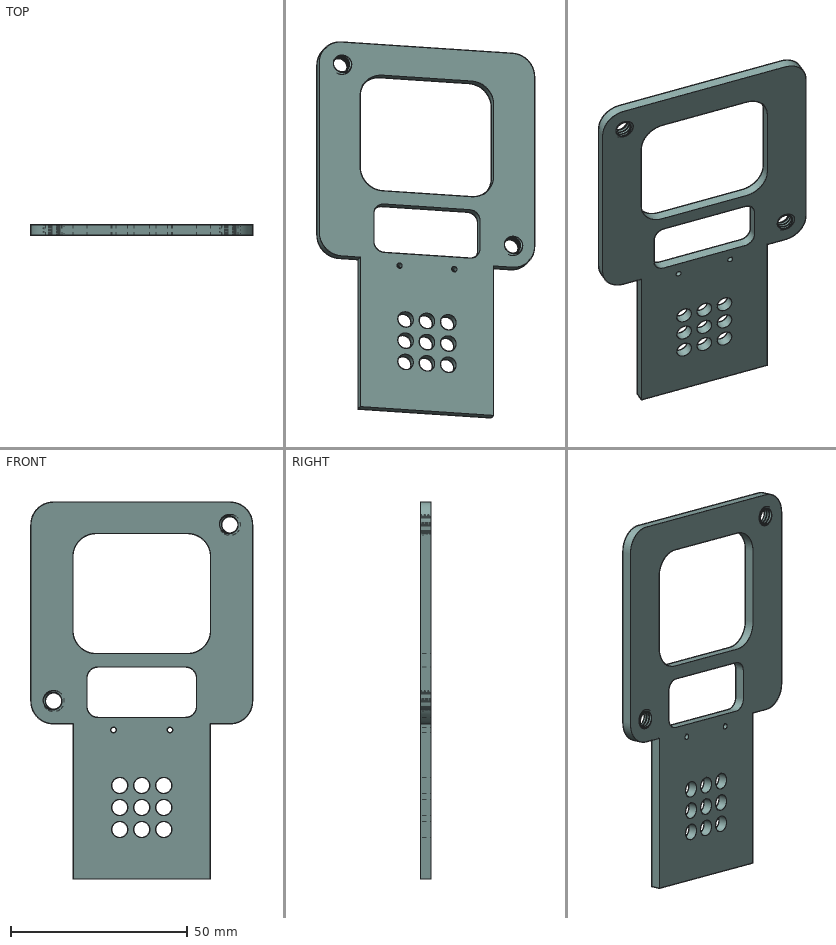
import cadquery as cq
import math

THICKNESS = 3.0
HEAD_SIZE = 63.0
HEAD_CORNER_RADIUS = 6.5
TOTAL_HEIGHT = 107.0
TAIL_WIDTH = 39.0

HEAD_TOP = HEAD_SIZE / 2
HEAD_BOTTOM = -HEAD_SIZE / 2
TAIL_LENGTH = TOTAL_HEIGHT - HEAD_SIZE
TAIL_BOTTOM = HEAD_BOTTOM - TAIL_LENGTH

LARGE_WINDOW_WIDTH = TAIL_WIDTH
LARGE_WINDOW_HEIGHT = 34.0
LARGE_WINDOW_RADIUS = 6.5
LARGE_WINDOW_TOP_MARGIN = 9.0
LARGE_WINDOW_TOP = HEAD_TOP - LARGE_WINDOW_TOP_MARGIN

SMALL_WINDOW_WIDTH = 31.0
SMALL_WINDOW_HEIGHT = 14.2
SMALL_WINDOW_RADIUS = 3.0
WINDOW_GAP = 3.9
SMALL_WINDOW_TOP = LARGE_WINDOW_TOP - LARGE_WINDOW_HEIGHT - WINDOW_GAP

PIN_HOLE_DIAMETER = 1.5
PIN_HOLE_SPACING = 16.0
PIN_HOLE_DROP = 1.7

GRID_HOLE_DIAMETER = 4.5
GRID_PITCH = 6.25
GRID_COUNT = 3
GRID_CENTER_ABOVE_TAIL_BOTTOM = 20.3

THREAD_MINOR_DIAMETER = 4.7
THREAD_MAJOR_DIAMETER = 6.0
THREAD_PITCH = 1.0
THREAD_ANGLE = 60.0
THREAD_START_ANGLE = 170.0
THREAD_OVERRUN = THREAD_PITCH
THREAD_OVERLAP = 0.05
THREAD_OFFSET = HEAD_SIZE / 2 - HEAD_CORNER_RADIUS


def block(width, height, top):
    """Block through the plate thickness, centred on X = 0, with its top edge at the given Z."""
    return cq.Workplane("XY").box(width, THICKNESS, height).translate((0, 0, top - height / 2))


def rounded_block(width, height, top, radius):
    return block(width, height, top).edges("|Y").fillet(radius)


def pins(points, diameter):
    """Cylinders through the plate thickness at the given (x, z) points."""
    return (
        cq.Workplane("XZ", origin=(0, THICKNESS / 2, 0))
        .pushPoints(points)
        .circle(diameter / 2)
        .extrude(THICKNESS)
    )


def plate():
    head = rounded_block(HEAD_SIZE, HEAD_SIZE, HEAD_TOP, HEAD_CORNER_RADIUS)
    overlap = HEAD_CORNER_RADIUS
    tail = block(TAIL_WIDTH, TAIL_LENGTH + overlap, HEAD_BOTTOM + overlap)
    return head.union(tail).clean()


def windows():
    large = rounded_block(LARGE_WINDOW_WIDTH, LARGE_WINDOW_HEIGHT, LARGE_WINDOW_TOP, LARGE_WINDOW_RADIUS)
    small = rounded_block(SMALL_WINDOW_WIDTH, SMALL_WINDOW_HEIGHT, SMALL_WINDOW_TOP, SMALL_WINDOW_RADIUS)
    return large.union(small)


def pin_holes():
    z = HEAD_BOTTOM - PIN_HOLE_DROP
    return pins([(-PIN_HOLE_SPACING / 2, z), (PIN_HOLE_SPACING / 2, z)], PIN_HOLE_DIAMETER)


def grid_holes():
    center_z = TAIL_BOTTOM + GRID_CENTER_ABOVE_TAIL_BOTTOM
    steps = [(i - (GRID_COUNT - 1) / 2) * GRID_PITCH for i in range(GRID_COUNT)]
    return pins([(x, center_z + z) for x in steps for z in steps], GRID_HOLE_DIAMETER)


def thread_groove():
    """Right-hand V groove wound around Z, centred on the origin."""
    length = THICKNESS + 2 * THREAD_OVERRUN
    inner_radius = THREAD_MINOR_DIAMETER / 2 - THREAD_OVERLAP
    root_radius = THREAD_MAJOR_DIAMETER / 2
    half_width = (root_radius - inner_radius) * math.tan(math.radians(THREAD_ANGLE / 2))
    helix = cq.Wire.makeHelix(THREAD_PITCH, length, inner_radius)
    profile = cq.Workplane("XZ").polyline(
        [(inner_radius, -half_width), (root_radius, 0), (inner_radius, half_width)]
    ).close()
    return profile.sweep(cq.Workplane(helix), isFrenet=True).translate((0, 0, -length / 2))


def cut_threaded_holes(body):
    points = [(-THREAD_OFFSET, -THREAD_OFFSET), (THREAD_OFFSET, THREAD_OFFSET)]
    groove = thread_groove().rotate((0, 0, 0), (0, 0, 1), THREAD_START_ANGLE)
    groove = groove.rotate((0, 0, 0), (1, 0, 0), 90)
    for x, z in points:
        body = body.cut(groove.translate((x, 0, z)))
    return body.cut(pins(points, THREAD_MINOR_DIAMETER))


body = plate().cut(windows()).cut(pin_holes()).cut(grid_holes())
result = cut_threaded_holes(body).solids()